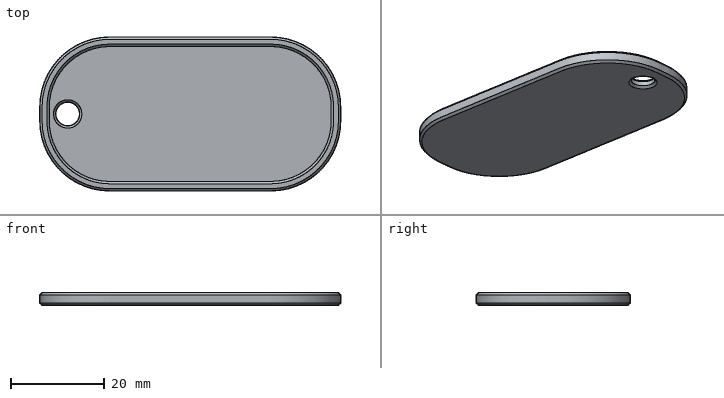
import cadquery as cq

length = 64.5
width = 33.0
thickness = 2.8
corner_radius = 15.0
edge_chamfer = 0.5

rim_width = 1.55
recess_depth = 0.8

hole_diameter = 5.0
hole_from_end = 6.0

floor_height = thickness - recess_depth


def rounded_block(inset, height):
    """Block with the plate outline moved inwards by the inset."""
    block = cq.Workplane("XY").rect(length - 2 * inset, width - 2 * inset).extrude(height)
    return block.edges("|Z").fillet(corner_radius - inset)


def make_plate():
    return rounded_block(0, thickness).faces("<Z or >Z").chamfer(edge_chamfer)


def make_recess():
    recess = rounded_block(rim_width, recess_depth).faces("<Z").chamfer(edge_chamfer)
    return recess.translate((0, 0, floor_height))


def make_hole():
    """Through hole, chamfered at the recess floor and at the bottom face."""
    radius = hole_diameter / 2
    mouth_radius = radius + edge_chamfer
    profile = [
        (0, 0),
        (mouth_radius, 0),
        (radius, edge_chamfer),
        (radius, floor_height - edge_chamfer),
        (mouth_radius, floor_height),
        (0, floor_height),
    ]
    hole = cq.Workplane("XZ").polyline(profile).close().revolve()
    return hole.translate((hole_from_end - length / 2, 0, 0))


result = make_plate().cut(make_recess()).cut(make_hole())